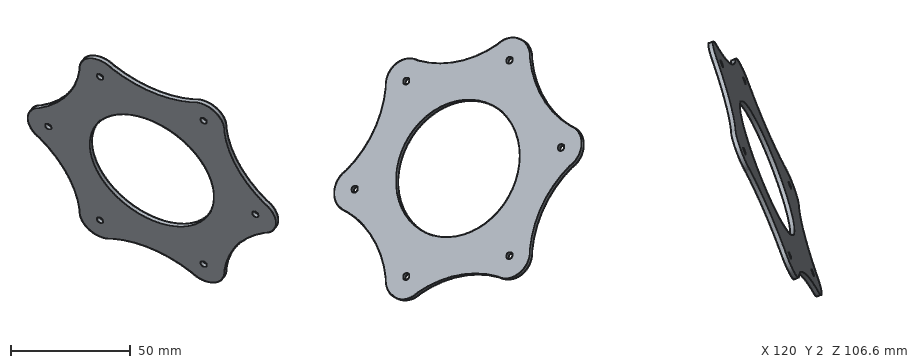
import cadquery as cq
import math

LOBE_COUNT = 6
OUTER_RADIUS = 60.0
LOBE_RADIUS = 10.0
VALLEY_RADIUS = 47.4
SCALLOP_RADIUS = 47.5
THICKNESS = 2.0
BORE_DIAMETER = 60.0
BOLT_HOLE_DIAMETER = 3.0

bolt_circle_radius = OUTER_RADIUS - LOBE_RADIUS
half_pitch = math.pi / LOBE_COUNT

lobe_across = bolt_circle_radius * math.sin(half_pitch)
lobe_along = bolt_circle_radius * math.cos(half_pitch)

scallop_along = VALLEY_RADIUS + SCALLOP_RADIUS
center_gap = math.hypot(lobe_across, scallop_along - lobe_along)
gap_angle = math.asin(lobe_across / center_gap)
overlap_cosine = (LOBE_RADIUS**2 + center_gap**2 - SCALLOP_RADIUS**2) / (2 * LOBE_RADIUS * center_gap)
joint_angle = gap_angle + math.acos(overlap_cosine)

joint_across = lobe_across - LOBE_RADIUS * math.sin(joint_angle)
joint_along = lobe_along + LOBE_RADIUS * math.cos(joint_angle)
joint_radius = math.hypot(joint_across, joint_along)
joint_offset = half_pitch - math.atan2(joint_across, joint_along)


def polar(radius, angle):
    """Plane coordinates of a point given by radius and angle."""
    return (radius * math.cos(angle), radius * math.sin(angle))


def make_plate():
    """Star-shaped plate of round lobes joined by concave arcs."""
    outline = cq.Workplane("XZ", origin=(0, THICKNESS / 2, 0)).moveTo(*polar(joint_radius, -joint_offset))
    for index in range(LOBE_COUNT):
        lobe_angle = index * 2 * half_pitch
        valley_angle = lobe_angle + half_pitch
        next_lobe_angle = lobe_angle + 2 * half_pitch
        outline = outline.threePointArc(
            polar(OUTER_RADIUS, lobe_angle),
            polar(joint_radius, lobe_angle + joint_offset),
        ).threePointArc(
            polar(VALLEY_RADIUS, valley_angle),
            polar(joint_radius, next_lobe_angle - joint_offset),
        )
    return outline.close().extrude(THICKNESS)


def cut_holes(plate):
    """Central bore and one bolt hole at the centre of each lobe."""
    bored = plate.faces("<Y").workplane(origin=(0, 0, 0)).hole(BORE_DIAMETER)
    return (
        bored.faces("<Y")
        .workplane(origin=(0, 0, 0))
        .polarArray(bolt_circle_radius, 0, 360, LOBE_COUNT)
        .hole(BOLT_HOLE_DIAMETER)
    )


result = cut_holes(make_plate())